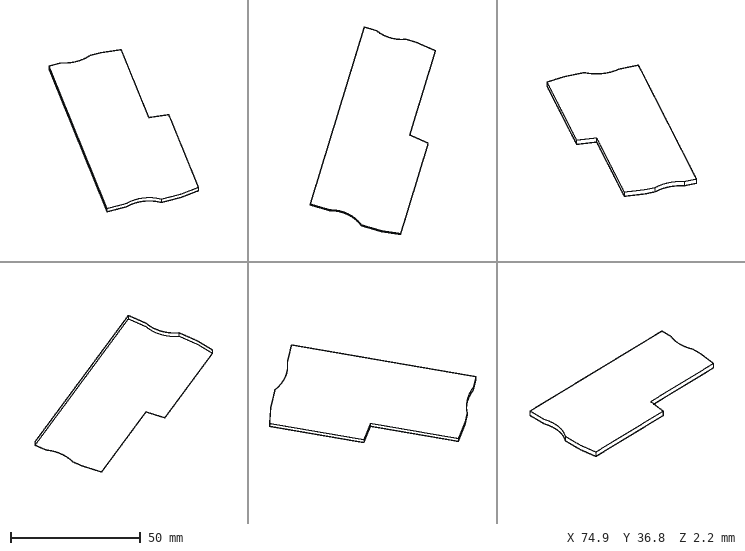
import cadquery as cq

length = 74.9
width = 36.8
thickness = 2.2

step_height = 29.0
step_x = 35.65
lean = 1.05
left_lean_start = 20.9
right_lean_start = 29.35

left_hollow_bottom = 4.95
left_hollow_top = 16.8
left_hollow_depth = 1.2
left_hollow_middle = (left_hollow_bottom + left_hollow_top) / 2

lower_right_x = 72.7
right_hollow_bottom = 7.9
right_hollow_top = 21.35
right_hollow_deepest = (72.0, 12.2)

outline = (
    cq.Workplane("XY")
    .moveTo(0, 0)
    .lineTo(lower_right_x, 0)
    .lineTo(lower_right_x, right_hollow_bottom)
    .threePointArc(right_hollow_deepest, (length, right_hollow_top))
    .lineTo(length, right_lean_start)
    .lineTo(length - lean, width)
    .lineTo(step_x + lean, width)
    .lineTo(step_x, step_height)
    .lineTo(lean, step_height)
    .lineTo(0, left_lean_start)
    .lineTo(0, left_hollow_top)
    .threePointArc((left_hollow_depth, left_hollow_middle), (0, left_hollow_bottom))
    .close()
)

result = outline.extrude(thickness)